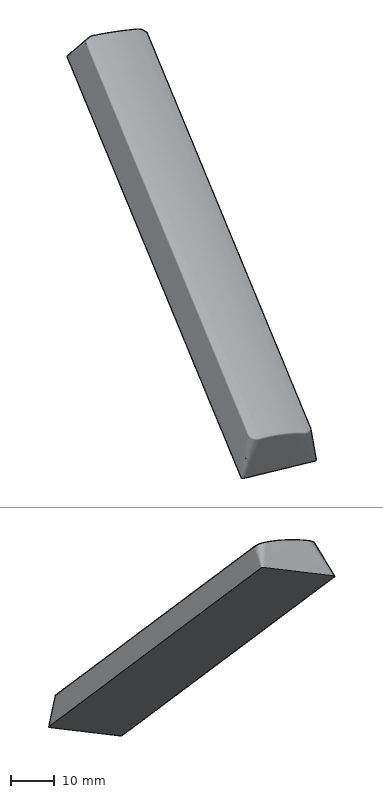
import cadquery as cq
import math

length = 132.4
width = 18.1
base_corner_radius = 0.5

height = 8.9
crown_radius = 34.4
crest_y = -3.6

end_inset = 3.3
front_inset = 3.7
rim_corner_radius = 2.4
rim_back_height = 7.7
rim_front_height = 9.9

top_edge_radius = 0.4

back_y = width / 2


def base_outline():
    """Almost sharp rectangle under the key."""
    return cq.Sketch().rect(length, width).vertices().fillet(base_corner_radius)


def rim_outline(rim_depth):
    """Smaller rectangle with rounder corners, drawn in the tilted rim plane."""
    return cq.Sketch().rect(length - 2 * end_inset, rim_depth).vertices().fillet(rim_corner_radius)


def leaning_body():
    """Ruled walls from the flat base to the tilted rim; the back wall stays vertical."""
    run = width - front_inset
    rise = rim_front_height - rim_back_height
    rim_plane = cq.Plane(
        origin=(0, back_y - run / 2, (rim_front_height + rim_back_height) / 2),
        xDir=(1, 0, 0),
        normal=(0, rise, run),
    )
    rim = rim_outline(math.hypot(run, rise)).moved(rim_plane.location)
    return cq.Workplane("XY").placeSketch(base_outline(), rim).loft(ruled=True)


def crown_cylinder():
    """Cylinder whose upper side is the finger surface."""
    return (
        cq.Workplane("YZ")
        .center(crest_y, height - crown_radius)
        .circle(crown_radius)
        .extrude(length / 2, both=True)
    )


body = leaning_body().intersect(crown_cylinder())
result = body.faces(">Z").edges().fillet(top_edge_radius)